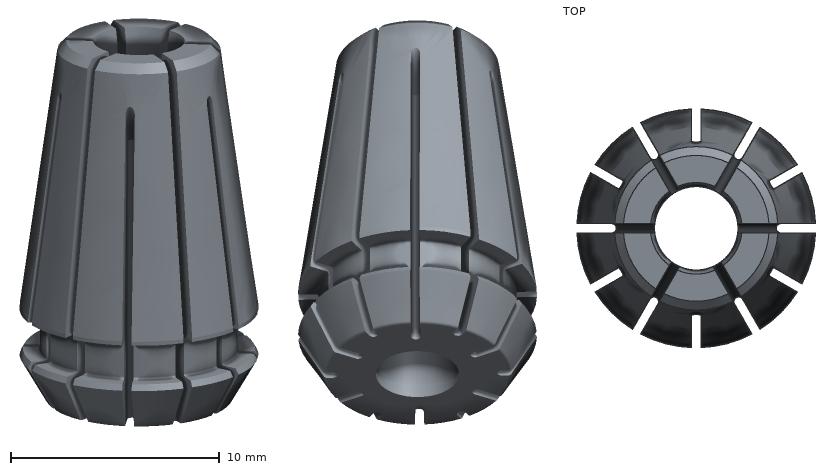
import cadquery as cq
import math


length = 18.0
max_radius = 5.72
top_face_radius = 3.5
base_fillet = 0.18

bore_radius = 2.0
bore_mouth_radius = 2.2
bore_mouth_depth = 1.39

taper_angle = math.radians(8)
taper_start_z = 4.7
top_chamfer_height = 0.41

groove_radius = 4.75
groove_bottom_z = 2.5
groove_top_z = 4.5
groove_fillet = 0.1
collar_edge_z = 2.21
collar_angle = math.radians(30)

slots_per_end = 6
slot_pitch = 360 / slots_per_end
slot_width = 0.45
slot_half_width = slot_width / 2
slot_overrun = 3.6

upper_floor_bore_z = 4.99
upper_floor_base_radius = 3.83

lower_floor_radius = 3.02
lower_bend_z = 14.0
lower_runout_z = 16.0


def taper_radius(z):
    """Radius of the long taper at height z."""
    return max_radius - (z - taper_start_z) * math.tan(taper_angle)


def outer_body():
    """Solid of revolution without bore or slots."""
    taper_top_z = length - top_chamfer_height
    collar_top_radius = max_radius - (groove_bottom_z - collar_edge_z) * math.tan(collar_angle)
    base_radius = max_radius - collar_edge_z * math.tan(collar_angle)
    body = (
        cq.Workplane("XZ")
        .polyline([
            (0, 0),
            (base_radius, 0),
            (max_radius, collar_edge_z),
            (collar_top_radius, groove_bottom_z),
            (groove_radius, groove_bottom_z),
            (groove_radius, groove_top_z),
            (max_radius, groove_top_z),
            (max_radius, taper_start_z),
            (taper_radius(taper_top_z), taper_top_z),
            (top_face_radius, length),
            (0, length),
        ])
        .close()
        .revolve(360, (0, 0), (0, 1))
    )
    groove_zone = cq.selectors.BoxSelector(
        (-max_radius, -max_radius, groove_bottom_z - groove_fillet),
        (max_radius, max_radius, groove_top_z + groove_fillet),
    )
    smallest_circles = cq.selectors.RadiusNthSelector(0)
    body = body.edges(groove_zone).edges(smallest_circles).fillet(groove_fillet)
    return body.faces("<Z").edges().fillet(base_fillet)


def bore():
    """Through bore whose mouth flares along an arc tangent to the bore wall."""
    flare = bore_mouth_radius - bore_radius
    flare_arc_radius = (bore_mouth_depth**2 + flare**2) / (2 * flare)
    mid_depth = bore_mouth_depth / 2
    mid_radius = bore_radius + flare_arc_radius - math.sqrt(flare_arc_radius**2 - mid_depth**2)
    return (
        cq.Workplane("XZ")
        .lineTo(bore_radius, 0)
        .lineTo(bore_radius, length - bore_mouth_depth)
        .threePointArc((mid_radius, length - mid_depth), (bore_mouth_radius, length))
        .lineTo(0, length)
        .close()
        .revolve(360, (0, 0), (0, 1))
    )


def round_floor_slot(floor_path, open_points):
    """Slot cutter in the XZ plane with a half-round floor.

    floor_path is the centre line of the rounding; open_points close the
    outline on the open side of the slot.
    """
    prism = (
        cq.Workplane("XZ")
        .polyline(floor_path + open_points)
        .close()
        .extrude(slot_half_width, both=True)
    )
    (start_x, start_z), (next_x, next_z) = floor_path[:2]
    start_plane = cq.Plane(
        origin=(start_x, 0, start_z),
        xDir=(0, 1, 0),
        normal=(next_x - start_x, 0, next_z - start_z),
    )
    rounding = (
        cq.Workplane(start_plane)
        .circle(slot_half_width)
        .sweep(cq.Workplane("XZ").polyline(floor_path), transition="right")
    )
    return prism.union(rounding)


def upper_slot():
    """Slot through the top face; its floor falls from the bore wall to the base."""
    steepness = upper_floor_bore_z / (upper_floor_base_radius - bore_radius)
    center_shift = slot_half_width / math.sin(math.atan(steepness))
    outer_x = max_radius + slot_overrun
    top_z = length + slot_overrun

    def center_z(x):
        return (upper_floor_base_radius + center_shift - x) * steepness

    path = [(outer_x, center_z(outer_x)), (0, center_z(0))]
    return round_floor_slot(path, [(0, top_z), (outer_x, top_z)])


def lower_slot():
    """Slot through the base; upright floor, then a straight run-out onto the taper."""
    run = taper_radius(lower_runout_z) - lower_floor_radius
    slope = math.atan2(lower_runout_z - lower_bend_z, run)
    center_x = lower_floor_radius + slot_half_width
    center_bend_z = lower_bend_z - slot_half_width * math.tan(math.pi / 4 - slope / 2)
    outer_x = center_x + slot_overrun
    outer_z = center_bend_z + slot_overrun * math.tan(slope)
    path = [(center_x, -slot_overrun), (center_x, center_bend_z), (outer_x, outer_z)]
    return round_floor_slot(path, [(outer_x, -slot_overrun)])


result = outer_body().cut(bore())
upper_cutter = upper_slot()
lower_cutter = lower_slot()
for i in range(slots_per_end):
    angle = i * slot_pitch
    result = result.cut(upper_cutter.rotate((0, 0, 0), (0, 0, 1), angle))
    result = result.cut(lower_cutter.rotate((0, 0, 0), (0, 0, 1), angle + slot_pitch / 2))